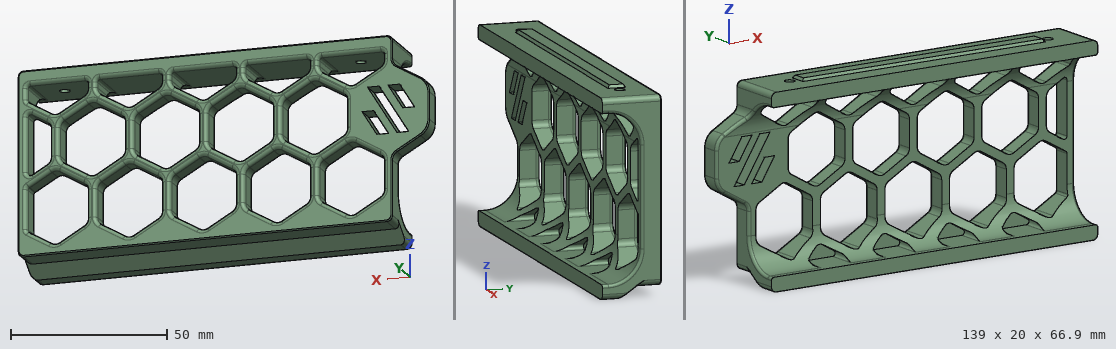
import cadquery as cq
import math

length = 139.0
depth = 20.0
frame_height = 65.9
frame_left = 12.5

rail_thickness = 5.0
plate_thickness = 7.0
cove_radius = 11.0
foot_depth = 5.5
heel_rise = 3.8
heel_slope_depth = 5.5

corner_radius = 2.0
channel_edge_radius = 1.0
outline_chamfer = 0.4
cell_back_radius = 1.4

hex_pitch = 25.0
hex_gap = 3.0
hex_corner_radius = 2.8
border = 3.0
trimmed_corner_radius = 1.0
cell_columns = 5
pocket_depth = 12.5

tab_x = 13.9
tab_z = 41.1
tab_corner_radius = 6.0
tab_root_radius = 3.0

slot_width = 3.9
slot_slant = 0.62
left_slot_x = 5.0
middle_slot_x = 12.0
right_slot_x = 18.8

ridge_length = 94.0
ridge_width = 6.0
ridge_height = 1.0
ridge_taper = 0.7
screw_hole_diameter = 3.3
screw_hole_spacing = 4 * hex_pitch

plate_front = depth - plate_thickness
channel_top = frame_height - rail_thickness
hex_flats = hex_pitch - hex_gap
hex_point_diameter = hex_flats / math.cos(math.pi / 6)
row_pitch = hex_pitch * math.cos(math.pi / 6)
hex_slope = math.tan(math.pi / 6)
tab_half_side = tab_x * hex_slope
top_feature_x = tab_x + 2.5 * hex_pitch
tolerance = 0.01


def box_between(low, high):
    size = [b - a for a, b in zip(low, high)]
    return cq.Workplane("XY").box(*size, centered=False).translate(low)


def prism_along_y(points):
    """Extrude an (X, Z) polygon through the full depth."""
    return cq.Workplane("XZ").polyline(points).close().extrude(-depth)


def fillet_upright_edges(solid, low, high, radius):
    """Fillet the edges along Y whose (X, Z) lies between two corners."""
    zone = cq.selectors.BoxSelector((low[0], 0, low[1]), (high[0], depth, high[1]))
    return solid.edges("|Y").edges(zone).fillet(radius)


def rounded_outline(bottom):
    """Frame rectangle above a given bottom height, joined to the hexagonal tab."""
    half_root = tab_half_side + frame_left * hex_slope
    outline = prism_along_y(
        [
            (frame_left, bottom),
            (length, bottom),
            (length, frame_height),
            (frame_left, frame_height),
            (frame_left, tab_z + half_root),
            (0, tab_z + tab_half_side),
            (0, tab_z - tab_half_side),
            (frame_left, tab_z - half_root),
        ]
    )
    left, right = frame_left - 1.4, length + 1.4
    outline = fillet_upright_edges(outline, (left, bottom - 1.4), (right, bottom + 1.4), corner_radius)
    outline = fillet_upright_edges(
        outline, (left, frame_height - 1.4), (right, frame_height + 1.4), corner_radius
    )
    outline = fillet_upright_edges(outline, (-1.4, 0), (1.4, frame_height), tab_corner_radius)
    return fillet_upright_edges(
        outline, (left, bottom + 7), (frame_left + 1.4, frame_height - 2.8), tab_root_radius
    )


def channel_cutter():
    """Front channel between the rails, with a cove into each of them."""
    channel = box_between((0, -plate_front, rail_thickness), (length, plate_front, channel_top))
    return channel.edges("|X and >Y").fillet(cove_radius)


def frame():
    """Outer body: sloped foot and raised heel, hollowed by the channel."""
    slope_end = heel_rise * (depth - foot_depth) / heel_slope_depth
    foot_section = (
        cq.Workplane("YZ")
        .polyline([(0, 0), (foot_depth, 0), (depth, slope_end), (depth, frame_height), (0, frame_height)])
        .close()
        .extrude(length)
    )
    heel_block = box_between(
        (0, foot_depth + heel_slope_depth, heel_rise), (length, depth, frame_height)
    )
    foot = rounded_outline(0).intersect(foot_section)
    heel = rounded_outline(heel_rise).intersect(heel_block)
    body = foot.union(heel).cut(channel_cutter())
    channel_faces = cq.selectors.BoxSelector(
        (frame_left, 0, rail_thickness - tolerance),
        (length - 1.4, plate_front + tolerance, channel_top + tolerance),
    )
    body = body.faces(channel_faces).edges("not |X").fillet(channel_edge_radius)
    return body.faces(">Y").chamfer(outline_chamfer)


def cell_cutter(x, z, cut_depth):
    """Honeycomb cell with rounded points, trimmed by the border and rounded where trimmed."""
    hexagon = (
        cq.Workplane("XZ", origin=(x, 0, z))
        .transformed(rotate=(0, 0, 30))
        .polygon(6, hex_point_diameter)
        .extrude(-cut_depth)
        .edges("|Y")
        .fillet(hex_corner_radius)
    )
    right = length - border
    cell = hexagon.intersect(
        box_between((frame_left, 0, rail_thickness), (right, depth, channel_top))
    )
    trim_lines = (
        cq.selectors.BoxSelector((0, 0, rail_thickness - tolerance), (length, depth, rail_thickness + tolerance))
        + cq.selectors.BoxSelector((0, 0, channel_top - tolerance), (length, depth, channel_top + tolerance))
        + cq.selectors.BoxSelector((right - tolerance, 0, 0), (right + tolerance, depth, frame_height))
    )
    trimmed_corners = cell.edges("|Y").edges(trim_lines)
    if trimmed_corners.size() > 0:
        cell = trimmed_corners.fillet(trimmed_corner_radius)
    return cell


def cut_row(body, row, first_column, columns, cut_depth):
    """Cut one row of cells, counted up from the tab's row and right from its column."""
    for column in range(columns):
        x = tab_x + (first_column + column) * hex_pitch
        body = body.cut(cell_cutter(x, tab_z + row * row_pitch, cut_depth))
    return body


def round_cell_backs(body):
    """Round the open cells where they break through the back face."""
    cell_edges = cq.selectors.BoxSelector(
        (frame_left + 1.4, depth - tolerance, rail_thickness - tolerance),
        (length - 1.4, depth + tolerance, channel_top + tolerance),
    )
    return body.faces(">Y").edges(cell_edges).fillet(cell_back_radius)


def slot_cutter(left_x, low_z, high_z):
    """Slanted slot between two heights."""
    low_x = left_x + (low_z - tab_z) * slot_slant
    high_x = left_x + (high_z - tab_z) * slot_slant
    return prism_along_y(
        [
            (low_x, low_z),
            (low_x + slot_width, low_z),
            (high_x + slot_width, high_z),
            (high_x, high_z),
        ]
    )


def ridge():
    """Tapered locating ridge on the top face."""
    taper_angle = math.degrees(math.atan(ridge_taper / ridge_height))
    return (
        cq.Workplane("XY", origin=(top_feature_x, depth / 2, frame_height))
        .rect(ridge_length, ridge_width)
        .extrude(ridge_height, taper=taper_angle)
    )


def screw_hole_cutter():
    """Holes from the top face down into the open cells of the top row."""
    half_spacing = screw_hole_spacing / 2
    return (
        cq.Workplane("XY", origin=(top_feature_x, depth / 2, frame_height))
        .pushPoints([(-half_spacing, 0), (half_spacing, 0)])
        .circle(screw_hole_diameter / 2)
        .extrude(-rail_thickness - cove_radius)
    )


slot_low = tab_z - tab_half_side
slot_high = tab_z + tab_half_side

body = frame()
body = cut_row(body, 1, 0.5, cell_columns, depth)
body = cut_row(body, 0, 1, cell_columns, depth)
body = cut_row(body, -1, 0.5, cell_columns, depth)
body = round_cell_backs(body)
body = cut_row(body, -2, 1, cell_columns - 1, pocket_depth)
body = body.cut(slot_cutter(left_slot_x, tab_z, slot_high))
body = body.cut(slot_cutter(middle_slot_x, slot_low, slot_high))
body = body.cut(slot_cutter(right_slot_x, slot_low, tab_z))
body = body.cut(screw_hole_cutter())
result = body.union(ridge())